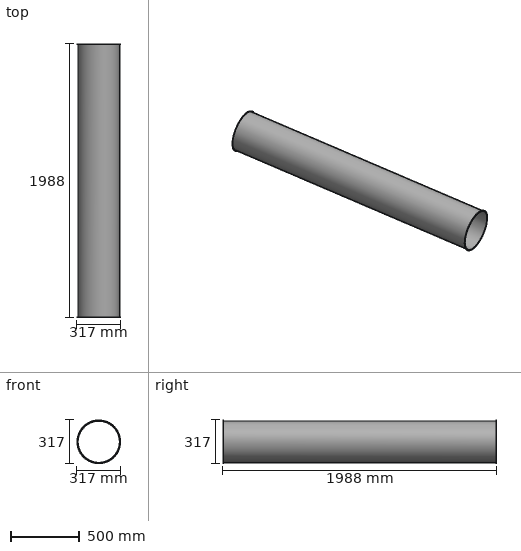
import cadquery as cq

length = 1988.0
bore_diameter = 299.0
wall_thickness = 3.0
collar_diameter = 317.0
collar_thickness = 3.0

tube_diameter = bore_diameter + 2 * wall_thickness


def ring(outer_diameter, y_start, width):
    """Ring around the Y axis with the duct bore, from y_start towards +Y."""
    plane = cq.Workplane("XZ", origin=(0, y_start, 0))
    return plane.circle(outer_diameter / 2).circle(bore_diameter / 2).extrude(-width)


front_end = -length / 2
back_end = length / 2

tube = ring(tube_diameter, front_end, length)
front_collar = ring(collar_diameter, front_end, collar_thickness)
back_collar = ring(collar_diameter, back_end - collar_thickness, collar_thickness)

result = tube.union(front_collar).union(back_collar)